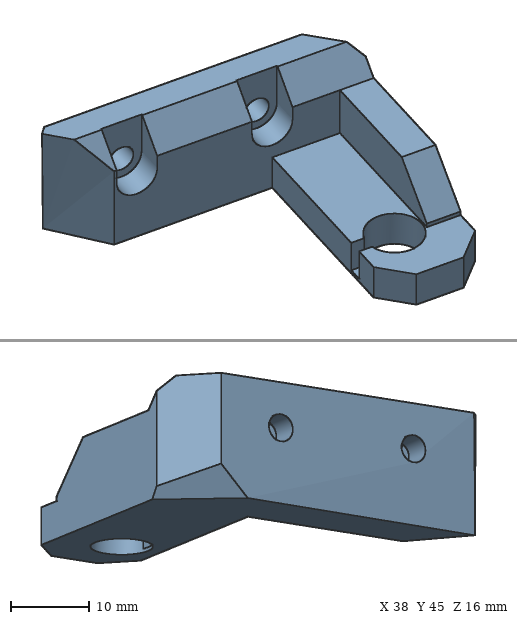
import cadquery as cq
import math

LENGTH_X = 38.0
LENGTH_Y = 45.0
HEIGHT = 16.0

WALL_THICKNESS = 8.0
WALL_CHAMFER_WIDTH = 3.82
WALL_CORNER = 6.0
WALL_TIP_START = 6.65

TIP_TOP_X = 1.1
TIP_TOP_SIDE_Y = 0.95
TIP_BOTTOM_X = 0.6
TIP_BOTTOM_Y = 0.4

BEVEL_HEIGHT = 4.0
BEVEL_START_Y = LENGTH_Y - WALL_CORNER - BEVEL_HEIGHT
BEVEL_SIDE_SLOPE = math.sqrt(2)

SCREW_DIAMETER = 3.6
SCREW_HEIGHT = 10.0
SCREW_SPACING = 20.0
SCREW_TOP_Y = LENGTH_Y - 15.0
POCKET_WIDTH = 6.0
POCKET_FLOOR_X = WALL_THICKNESS / 2

ARM_WIDTH = 15.0
ARM_THICKNESS = 5.0
ARM_CORNER = 4.0
RIB_WIDTH = 5.0
RIB_HEIGHT = 12.0
RIB_FLAT_END = 23.85
RIB_END = 30.3

ROD_DIAMETER = 8.0
ROD_X = 29.25
ROD_Y = LENGTH_Y - 9.2
SLOT_WIDTH = 2.02
SLOT_FLOOR = 0.5


def solid_from_faces(faces):
    """Closed solid bounded by flat faces, each given as a list of corners."""
    flat_faces = []
    for corners in faces:
        wire = cq.Wire.makePolygon([cq.Vector(*p) for p in corners], close=True)
        flat_faces.append(cq.Face.makeFromWires(wire))
    return cq.Workplane(cq.Solid.makeSolid(cq.Shell.makeShell(flat_faces)))


def box_between(low, high):
    size = [b - a for a, b in zip(low, high)]
    return cq.Workplane().box(*size, centered=False).translate(low)


def make_tip():
    """Half of the wall with the tapered end, whose sides narrow to a point at the bottom."""
    chamfer_x = WALL_THICKNESS - WALL_CHAMFER_WIDTH
    taper_slope = WALL_TIP_START / (WALL_THICKNESS - TIP_TOP_X)
    chamfer_y = taper_slope * (chamfer_x - TIP_TOP_X)

    point = (TIP_BOTTOM_X, TIP_BOTTOM_Y, 0)
    nose = (TIP_TOP_X, 0, HEIGHT)
    side = (0, TIP_TOP_SIDE_Y, HEIGHT)
    ridge = (chamfer_x, chamfer_y, HEIGHT)
    shoulder = (WALL_THICKNESS, WALL_TIP_START, RIB_HEIGHT)
    foot = (WALL_THICKNESS, WALL_TIP_START, 0)
    below_hole = (0, SCREW_TOP_Y - SCREW_SPACING, SCREW_HEIGHT - SCREW_DIAMETER / 2)

    back_outer_low = (0, BEVEL_START_Y, 0)
    back_outer_high = (0, BEVEL_START_Y, HEIGHT)
    back_ridge = (chamfer_x, BEVEL_START_Y, HEIGHT)
    back_shoulder = (WALL_THICKNESS, BEVEL_START_Y, RIB_HEIGHT)
    back_foot = (WALL_THICKNESS, BEVEL_START_Y, 0)

    bottom = [back_outer_low, back_foot, foot, point]
    top = [back_outer_high, back_ridge, ridge, nose, side]
    back = [back_outer_low, back_outer_high, back_ridge, back_shoulder, back_foot]
    inner = [back_foot, back_shoulder, shoulder, foot]
    chamfer = [back_shoulder, back_ridge, ridge, shoulder]
    outer = [back_outer_low, back_outer_high, side, below_hole]
    outer_lean = [[back_outer_low, below_hole, point], [below_hole, side, point]]
    taper = [[foot, shoulder, point], [shoulder, ridge, point], [ridge, nose, point]]
    end = [side, nose, point]
    return solid_from_faces([bottom, top, back, inner, chamfer, outer, *outer_lean, *taper, end])


def make_corner_bevel():
    """Tetrahedron removed from below the outer corner of the wall."""
    rise = LENGTH_Y - BEVEL_START_Y
    start = (0, BEVEL_START_Y, 0)
    corner = (0, LENGTH_Y, 0)
    side = (rise / BEVEL_SIDE_SLOPE, LENGTH_Y, 0)
    peak = (0, LENGTH_Y, rise)
    return solid_from_faces([
        [start, corner, side],
        [start, corner, peak],
        [corner, side, peak],
        [start, side, peak],
    ])


def make_wall():
    body = box_between((0, BEVEL_START_Y, 0), (WALL_THICKNESS, LENGTH_Y, HEIGHT))
    wall = body.union(make_tip())
    chamfer_cut = (
        cq.Workplane("XZ")
        .moveTo(WALL_THICKNESS, HEIGHT)
        .lineTo(WALL_THICKNESS - WALL_CHAMFER_WIDTH, HEIGHT)
        .lineTo(WALL_THICKNESS, RIB_HEIGHT)
        .close()
        .extrude(-LENGTH_Y)
    )
    corner_cut = (
        cq.Workplane("XY")
        .moveTo(0, LENGTH_Y)
        .lineTo(0, LENGTH_Y - WALL_CORNER)
        .lineTo(WALL_CORNER, LENGTH_Y)
        .close()
        .extrude(HEIGHT)
    )
    return wall.cut(chamfer_cut).cut(corner_cut).cut(make_corner_bevel())


def make_arm():
    arm = box_between((0, LENGTH_Y - ARM_WIDTH, 0), (LENGTH_X, LENGTH_Y, ARM_THICKNESS))
    arm = arm.edges("|Z and >X").chamfer(ARM_CORNER)
    arm = arm.cut(box_between((0, 0, 0), (WALL_THICKNESS, LENGTH_Y, HEIGHT)))
    rib_end_height = RIB_HEIGHT - (RIB_END - RIB_FLAT_END)
    rib = (
        cq.Workplane("XZ", origin=(0, LENGTH_Y, 0))
        .moveTo(WALL_THICKNESS, 0)
        .lineTo(WALL_THICKNESS, RIB_HEIGHT)
        .lineTo(RIB_FLAT_END, RIB_HEIGHT)
        .lineTo(RIB_END, rib_end_height)
        .lineTo(RIB_END, 0)
        .close()
        .extrude(RIB_WIDTH)
    )
    return arm.union(rib)


def make_screw_cut(y):
    hole = (
        cq.Workplane("YZ")
        .center(y, SCREW_HEIGHT)
        .circle(SCREW_DIAMETER / 2)
        .extrude(WALL_THICKNESS)
    )
    pocket_depth = WALL_THICKNESS - POCKET_FLOOR_X
    round_floor = (
        cq.Workplane("YZ", origin=(POCKET_FLOOR_X, y, SCREW_HEIGHT))
        .circle(POCKET_WIDTH / 2)
        .extrude(pocket_depth)
    )
    open_top = box_between(
        (POCKET_FLOOR_X, y - POCKET_WIDTH / 2, SCREW_HEIGHT),
        (WALL_THICKNESS, y + POCKET_WIDTH / 2, HEIGHT),
    )
    return hole.union(round_floor).union(open_top)


result = make_wall().union(make_arm())

for screw_y in (SCREW_TOP_Y, SCREW_TOP_Y - SCREW_SPACING):
    result = result.cut(make_screw_cut(screw_y))

rod_hole = cq.Workplane("XY").center(ROD_X, ROD_Y).circle(ROD_DIAMETER / 2).extrude(ARM_THICKNESS)
slot = box_between(
    (ROD_X - SLOT_WIDTH / 2, LENGTH_Y - ARM_WIDTH, SLOT_FLOOR),
    (ROD_X + SLOT_WIDTH / 2, ROD_Y, ARM_THICKNESS),
)
result = result.cut(rod_hole).cut(slot)